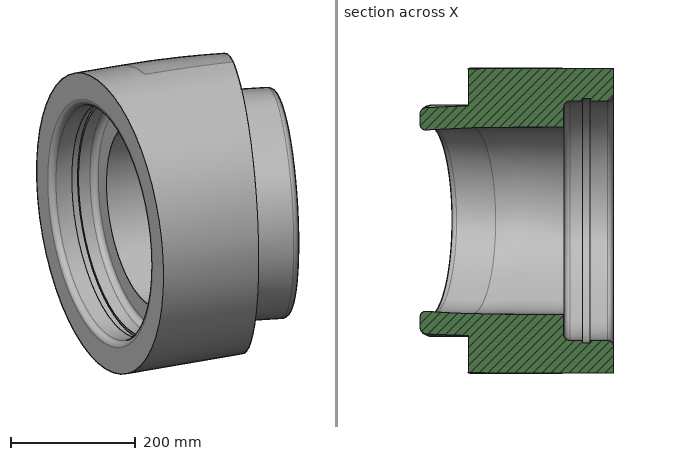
import cadquery as cq
import math

bend_angle = 15.0
bend_radius = 573.0
straight_length = 80.0

body_radius = 245.0
bore_radius = 150.0

spigot_radius = 186.0
spigot_length = 75.0
spigot_round = 10.0

socket_radius = 192.0
socket_depth = 80.0
socket_round = 10.0

groove_start = 38.0
groove_width = 12.0
groove_depth = 4.0

tilt = math.radians(bend_angle)
end_center = (
    bend_radius * (1 - math.cos(tilt)),
    straight_length + bend_radius * math.sin(tilt),
    0,
)
end_direction = (math.sin(tilt), math.cos(tilt), 0)
end_plane = cq.Plane(origin=end_center, xDir=(0, 0, 1), normal=end_direction)


def inlet_cylinder(radius, start, length):
    """Cylinder along +Y that starts at the given Y."""
    plane = cq.Plane(origin=(0, start, 0), xDir=(1, 0, 0), normal=(0, 1, 0))
    return cq.Workplane(plane).circle(radius).extrude(length)


def bent_rod(radius):
    """Straight rod along the inlet, followed by the bend up to the bent end."""
    straight = inlet_cylinder(radius, 0, straight_length)
    bend_plane = cq.Plane(origin=(0, straight_length, 0), xDir=(1, 0, 0), normal=(0, -1, 0))
    bend = (
        cq.Workplane(bend_plane)
        .circle(radius)
        .revolve(bend_angle, (bend_radius, 1, 0), (bend_radius, 0, 0))
    )
    return straight.union(bend)


def body():
    """Outer body: bent on the -X side, straight on the +X side, with a tilted end face."""
    full_length = end_center[1] + body_radius
    cutter_size = 4 * body_radius
    beyond_end = cq.Workplane(end_plane).rect(cutter_size, cutter_size).extrude(full_length)
    straight = inlet_cylinder(body_radius, 0, full_length).cut(beyond_end)
    return straight.intersect(bent_rod(body_radius))


def spigot():
    """Plain spigot on the bent end, bored through, with both rims of its end face rounded."""
    tube = cq.Workplane(end_plane).circle(spigot_radius).circle(bore_radius).extrude(spigot_length)
    end_face = cq.selectors.DirectionMinMaxSelector(cq.Vector(*end_direction))
    return tube.faces(end_face).edges().fillet(spigot_round)


def socket():
    """Socket recess with a rounded mouth, a seal groove and a rounded bottom corner."""
    mouth_radius = socket_radius + socket_round
    floor_radius = socket_radius - socket_round
    groove_radius = socket_radius + groove_depth
    groove_end = groove_start + groove_width
    return (
        cq.Workplane("XY")
        .moveTo(0, 0)
        .lineTo(mouth_radius, 0)
        .radiusArc((socket_radius, socket_round), socket_round)
        .lineTo(socket_radius, groove_start)
        .lineTo(groove_radius, groove_start)
        .lineTo(groove_radius, groove_end)
        .lineTo(socket_radius, groove_end)
        .lineTo(socket_radius, socket_depth - socket_round)
        .radiusArc((floor_radius, socket_depth), -socket_round)
        .lineTo(0, socket_depth)
        .close()
        .revolve(360, (0, 0, 0), (0, 1, 0))
    )


result = body().cut(bent_rod(bore_radius)).cut(socket()).union(spigot())